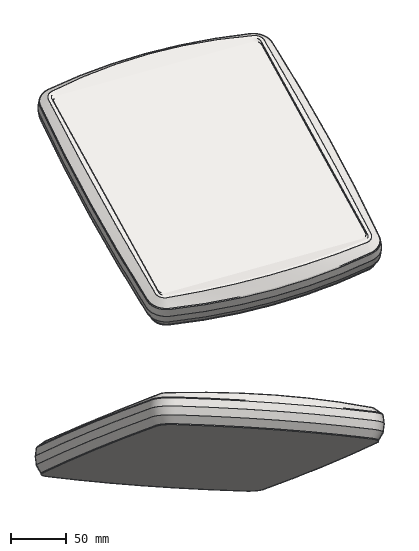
import cadquery as cq
import math

half_length = 161.0
half_width = 116.0
side_corner = (131.5, 112.7)
end_corner = (150.5, 97.2)
corner_bulge = 0.34

parting_z = 16.0
foot_height = 1.0
base_chamfer_z = 7.7
cover_chamfer_z = 24.0
crease_half_height = 0.48
rim_end_z = 33.0
floor_z = 29.0

draft_inset = 1.3
crease_inset_step = 0.3
base_inset = 5.0

rim_half_length = 150.0
rim_half_width = 105.3
rim_side_corner = (131.5, 103.7)
rim_end_corner = (140.5, 96.5)
recess_half_length = 147.8
recess_half_width = 100.5
recess_side_corner = (132.0, recess_half_width)
recess_end_corner = (137.5, 95.0)

floor_half_length = 134.0
floor_half_width = 99.8
floor_corner_radius = 6.5
quarter_round_bulge = math.tan(math.pi / 8)
straight_tolerance = 3.22e-06

ramp_slope = (rim_end_z - floor_z) / (recess_half_length - floor_half_length)
rim_side_z = floor_z + ramp_slope * (recess_end_corner[0] - floor_half_length)


def line_or_arc(start, middle, end):
    """Edge from start to end through middle, straight if middle is on the chord."""
    if (middle - (start + end) * 0.5).Length < straight_tolerance:
        return cq.Edge.makeLine(start, end)
    return cq.Edge.makeThreePointArc(start, middle, end)


def loop(end_middle, side_middle, end_point, side_point, bulge):
    """Closed ring of eight edges, mirrored in X and Y from one quarter.

    end_middle is (x, z) at y = 0 and side_middle is (y, z) at x = 0.
    end_point and side_point are the two ends of the corner round.
    """
    end_point = cq.Vector(*end_point)
    side_point = cq.Vector(*side_point)
    chord = side_point - end_point
    outward = cq.Vector(chord.y, -chord.x, 0)
    corner_middle = (end_point + side_point) * 0.5 + outward * (bulge / 2)

    def mirrored(point, sign_x, sign_y):
        return cq.Vector(sign_x * point.x, sign_y * point.y, point.z)

    edges = []
    for sign_x, sign_y in ((1, 1), (-1, 1), (-1, -1), (1, -1)):
        end_start = mirrored(end_point, sign_x, sign_y)
        side_start = mirrored(side_point, sign_x, sign_y)
        corner = (end_start, mirrored(corner_middle, sign_x, sign_y), side_start)
        if sign_x == sign_y:
            middle = cq.Vector(0, sign_y * side_middle[0], side_middle[1])
            following = (side_start, middle, mirrored(side_point, -sign_x, sign_y))
        else:
            corner = corner[::-1]
            middle = cq.Vector(sign_x * end_middle[0], 0, end_middle[1])
            following = (end_start, middle, mirrored(end_point, sign_x, -sign_y))
        edges.append(line_or_arc(*corner))
        edges.append(line_or_arc(*following))
    return edges


def wall_loop(inset, z):
    """Level ring parallel to the parting outline, moved inward by inset."""
    end_angle = 2 * math.atan((half_length - end_corner[0]) / end_corner[1])
    end_point = (
        end_corner[0] - inset * math.cos(end_angle),
        end_corner[1] - inset * math.sin(end_angle),
        z,
    )
    side_point = (side_corner[0], side_corner[1] - inset, z)
    return loop((half_length - inset, z), (half_width - inset, z), end_point, side_point, corner_bulge)


def solid_through(loops):
    """Solid with ruled faces between successive rings and flat first and last faces."""
    faces = []
    for lower, upper in zip(loops, loops[1:]):
        for lower_edge, upper_edge in zip(lower, upper):
            faces.append(cq.Face.makeRuledSurface(lower_edge, upper_edge))
    for ring in (loops[0], loops[-1]):
        faces.append(cq.Face.makeFromWires(cq.Wire.assembleEdges(ring)))
    return cq.Solid.makeSolid(cq.Shell.makeShell(faces)).fix()


def broken_crease(crease_z, widening):
    """Two rings, bottom first, bounding a crease facet.

    widening is 1 where the outline grows upward through the crease and -1 where it shrinks.
    """
    return [
        wall_loop(draft_inset + widening * crease_inset_step, crease_z - crease_half_height),
        wall_loop(draft_inset - widening * crease_inset_step, crease_z + crease_half_height),
    ]


def make_base():
    """Lower half: drafted wall above a chamfer and a low upright lip."""
    return solid_through([
        wall_loop(base_inset, 0),
        wall_loop(base_inset, foot_height),
        *broken_crease(base_chamfer_z, 1),
        wall_loop(0, parting_z),
    ])


def make_cover():
    """Upper half: drafted wall, chamfer, rim raised at both ends and display recess."""
    rim_outer = loop(
        (rim_half_length, rim_end_z),
        (rim_half_width, rim_side_z),
        (*rim_end_corner, rim_side_z),
        (*rim_side_corner, rim_side_z),
        corner_bulge,
    )
    rim_inner = loop(
        (recess_half_length, rim_end_z),
        (recess_half_width, rim_side_z),
        (*recess_end_corner, rim_side_z),
        (*recess_side_corner, rim_side_z),
        corner_bulge,
    )
    floor = loop(
        (floor_half_length, floor_z),
        (floor_half_width, floor_z),
        (floor_half_length, floor_half_width - floor_corner_radius, floor_z),
        (floor_half_length - floor_corner_radius, floor_half_width, floor_z),
        quarter_round_bulge,
    )
    return solid_through([
        wall_loop(0, parting_z),
        *broken_crease(cover_chamfer_z, -1),
        rim_outer,
        rim_inner,
        floor,
    ])


base = make_base()
cover = make_cover()
result = cq.Compound.makeCompound([base, cover])